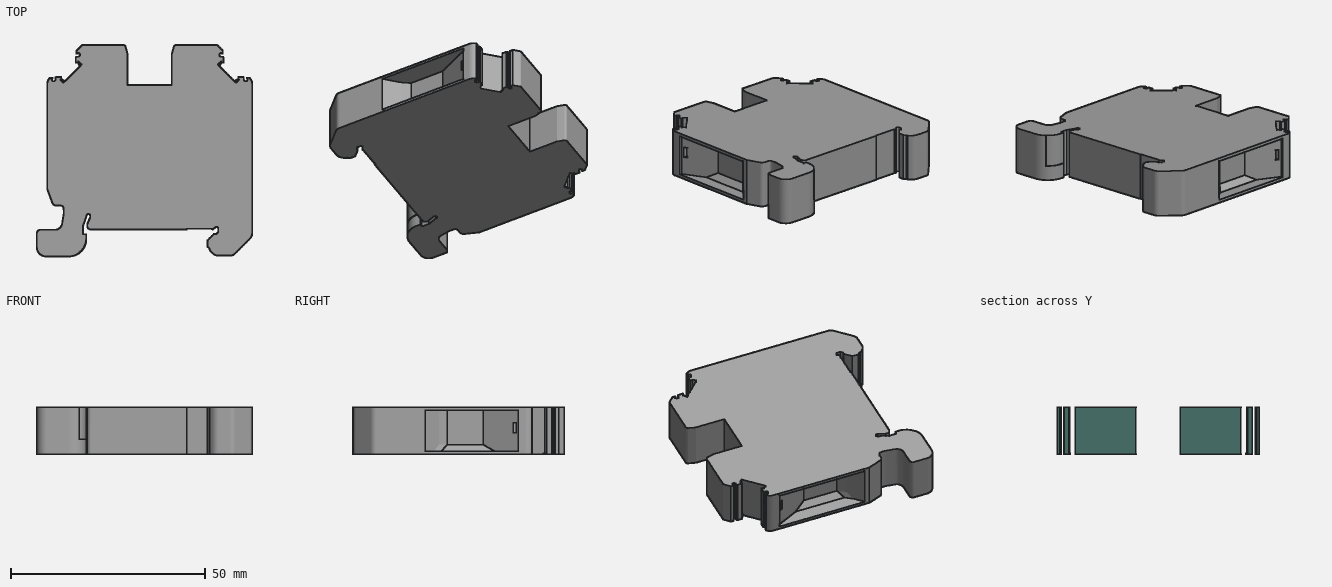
import cadquery as cq
import math

height = 12.2
left_side = 2.65
right_side = 55.5
top_edge = 54.5
mid_x = (left_side + right_side) / 2

slot_half_width = 5.65
slot_floor = 44.2
slot_flare = 0.65
slot_flare_start = 52.15
slot_lip_radius = 0.65

tooth_mirror_sum = 56.3
lower_teeth = [
    (3.45, 46.05),
    (4.1, 46.05),
    (4.1, 45.85),
    (3.85, 45.6),
    (4.1, 45.2),
    (4.55, 45.2),
    (4.85, 45.45),
    (4.85, 46.1),
    (5.05, 46.25),
    (6.3, 46.25),
]
groove_corner = (6.3, 45.75)
groove_root = (6.05, 45.55)
slope_end = (6.8, 44.75)
web_tip = (7.25, 45.2)
web_thickness = 0.35
shoulder_chamfer = 0.8
shoulder_radius = 2.2
tooth_top = 53.0
top_corner_radius = 0.55

rail_seat = 6.95
seat_step_x = 38.6
seat_step = 0.15
left_foot_radius = 4.6
left_foot_right = 12.8
foot_step_y = 5.75
right_foot_bottom = 0.2
right_foot_chamfer = 5.0
foot_radius = 1.85

hook_nose_x = 43.95
hook_nose_y = (2.55, 4.15)
hook_toe_radius = 2.05
hook_throat_x = 46.75
hook_throat_top = 7.6
hook_throat_radius = 0.45

slit_x = (12.8, 13.75)
slit_top = 10.95
slit_radius = 0.45
slit_mouth_x = 11.95
slit_lip_radius = 1.0
neck_top = 13.1
neck_top_radius = 0.65
neck_bend_radius = 4.45
left_foot_heel_radius = 2.45
left_foot_top_radius = 0.95
block_corner_radius = 1.2
block_taper_start = 17.4

relief_depth = 0.1
relief_start_x = 11.0
relief_bottom = 3.9

funnel_bottom = 0.85
funnel_top = 11.4
funnel_depth = 5.05
funnel_mouth = (18.65, 42.6)
funnel_back = (24.3, 33.65)
funnel_lead_in = 0.6
funnel_knee_depth = 3.6
bevel_run = 1.45
bevel_rise = 1.65

window_y = (41.35, 42.05)
window_z = (5.55, 8.2)
window_depths = (0.55, 1.95)


def swap_ends(point):
    """Reflect a tooth point to the other end of the left slope."""
    x, y = point
    return (tooth_mirror_sum - y, tooth_mirror_sum - x)


def mirror_x(point):
    """Reflect a point, keeping any corner radius, to the other half of the block."""
    return (2 * mid_x - point[0],) + tuple(point[1:])


def rounded_outline(corners):
    """Closed wire through (x, y) or (x, y, radius) corners, rounding those with a radius."""
    stretches = []
    for index, corner in enumerate(corners):
        here = cq.Vector(corner[0], corner[1])
        radius = corner[2] if len(corner) > 2 else 0
        if radius == 0:
            stretches.append((here,))
            continue
        before = corners[index - 1]
        after = corners[(index + 1) % len(corners)]
        back = (cq.Vector(before[0], before[1]) - here).normalized()
        ahead = (cq.Vector(after[0], after[1]) - here).normalized()
        half_angle = back.getAngle(ahead) / 2
        setback = radius / math.tan(half_angle)
        middle_distance = radius / math.sin(half_angle) - radius
        middle = here + (back + ahead).normalized() * middle_distance
        stretches.append((here + back * setback, middle, here + ahead * setback))
    wire = cq.Workplane("XY").moveTo(*stretches[0][-1].toTuple()[:2])
    for stretch in stretches[1:] + stretches[:1]:
        wire = wire.lineTo(*stretch[0].toTuple()[:2])
        if len(stretch) > 1:
            wire = wire.threePointArc(stretch[1].toTuple()[:2], stretch[2].toTuple()[:2])
    return wire.close()


def upper_left_corners():
    """Corners from the left side, up the toothed shoulder and down to the slot floor."""
    teeth = lower_teeth + [groove_corner, groove_root, slope_end]
    tooth_side = swap_ends(lower_teeth[1])[0]
    slot_side = mid_x - slot_half_width
    outer = [(left_side, lower_teeth[0][1] - shoulder_chamfer, shoulder_radius)] + teeth
    outer += [swap_ends(point) for point in reversed(teeth[1:])]
    outer += [
        (tooth_side, tooth_top),
        (tooth_side + top_edge - tooth_top, top_edge, top_corner_radius),
        (slot_side - slot_flare, top_edge, slot_lip_radius),
        (slot_side, slot_flare_start),
        (slot_side, slot_floor),
    ]
    return outer


def right_foot_corners():
    """Corners from the right side, round the fixed hook, to the rail seat."""
    bottom = right_foot_bottom
    return [
        (right_side, bottom + right_foot_chamfer, foot_radius),
        (right_side - right_foot_chamfer, bottom, foot_radius),
        (45.9, bottom, hook_toe_radius),
        (44.55, 1.55),
        (44.45, 2.05),
        (hook_nose_x, hook_nose_y[0]),
        (hook_nose_x, hook_nose_y[1]),
        (45.6, 5.8),
        (46.2, 5.8),
        (hook_throat_x, 6.4),
        (hook_throat_x, hook_throat_top, hook_throat_radius),
        (46.1, hook_throat_top),
        (45.3, rail_seat),
        (44.95, rail_seat + seat_step),
        (seat_step_x, rail_seat + seat_step),
        (seat_step_x, rail_seat),
    ]


def left_foot_corners():
    """Corners from the rail seat, round the spring slit and foot, to the left side."""
    return [
        (12.9, rail_seat, slit_lip_radius),
        (13.0, 8.3),
        (slit_x[1], 10.15),
        (slit_x[1], slit_top, slit_radius),
        (slit_x[0], slit_top, slit_radius),
        (slit_x[0], 10.3),
        (slit_mouth_x, 7.8),
        (slit_mouth_x, foot_step_y),
        (left_foot_right, foot_step_y),
        (left_foot_right, 0, left_foot_radius),
        (0, 0, left_foot_heel_radius),
        (0, rail_seat, left_foot_top_radius),
        (6.25, rail_seat, foot_radius),
        (7.0, 11.45, neck_bend_radius),
        (6.75, neck_top, neck_top_radius),
        (4.3, neck_top, block_corner_radius),
        (left_side, block_taper_start),
    ]


def body():
    upper_left = upper_left_corners()
    upper_right = [mirror_x(corner) for corner in reversed(upper_left)]
    corners = upper_left + upper_right + right_foot_corners() + left_foot_corners()
    return rounded_outline(corners).extrude(height)


def groove_webs():
    """Thin floors that partly close the grooves at both ends of each slope."""
    lower = [groove_corner, groove_root, slope_end, web_tip]
    upper = [swap_ends(point) for point in lower]
    webs = cq.Workplane("XY")
    for web in (lower, upper):
        for points in (web, [mirror_x(point) for point in web]):
            webs = webs.union(cq.Workplane("XY").polyline(points).close().extrude(web_thickness))
    return webs


def foot_relief():
    """Sliver cut from the rounded corner of the left foot above relief_bottom."""
    inner_radius = left_foot_radius - relief_depth
    center_x = left_foot_right - left_foot_radius

    def block(x_start, x_end, y_start, y_end):
        size = (x_end - x_start, y_end - y_start, height - relief_bottom)
        return cq.Workplane("XY").box(*size, centered=False).translate((x_start, y_start, relief_bottom))

    core = cq.Workplane("XY", origin=(center_x, left_foot_radius, relief_bottom))
    core = core.circle(inner_radius).extrude(height - relief_bottom)
    shank = block(center_x, center_x + inner_radius, left_foot_radius, foot_step_y)
    return block(relief_start_x, left_foot_right, 0, foot_step_y).cut(core).cut(shank)


def left_funnel():
    """Wire funnel cut into the left side, bevelled along its floor, with its window."""
    mouth_low, mouth_high = funnel_mouth
    back_low, back_high = funnel_back
    knee_y = mouth_low + funnel_knee_depth
    wall_slope = (mouth_high - back_high) / (funnel_depth - funnel_lead_in)
    fixed = [(left_side, mouth_low), (left_side, mouth_high), (left_side + funnel_lead_in, mouth_high)]
    back = left_side + funnel_depth
    knee = left_side + funnel_knee_depth
    full = fixed + [(back, back_high), (back, back_low), (knee, knee_y)]
    floor = fixed + [
        (back - bevel_run, back_high + bevel_run * wall_slope),
        (back - bevel_run, back_low - bevel_run),
        (knee - bevel_run, knee_y - bevel_run),
    ]
    bevel_top = funnel_bottom + bevel_rise
    bevelled = cq.Workplane("XY", origin=(0, 0, funnel_bottom)).polyline(floor).close()
    bevelled = bevelled.workplane(offset=bevel_rise).polyline(full).close().loft(ruled=True)
    straight = cq.Workplane("XY", origin=(0, 0, bevel_top)).polyline(full).close()
    straight = straight.extrude(funnel_top - bevel_top)
    window = cq.Workplane("XY").box(
        window_depths[1] - window_depths[0],
        window_y[1] - window_y[0],
        window_z[1] - window_z[0],
        centered=False,
    )
    window = window.translate((left_side + window_depths[0], window_y[0], window_z[0]))
    return bevelled.union(straight).union(window)


funnel = left_funnel()
opposite_funnel = funnel.mirror("YZ", (mid_x, 0, 0))
result = body().union(groove_webs()).cut(foot_relief()).cut(funnel).cut(opposite_funnel)